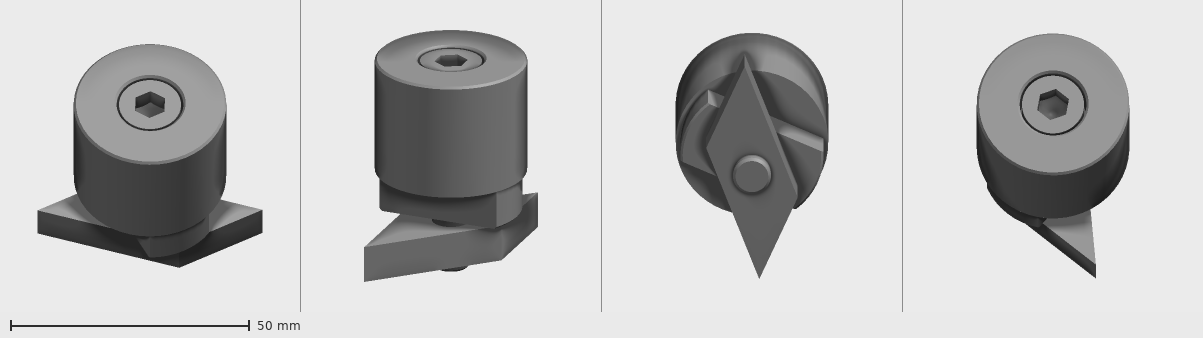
import cadquery as cq
import math

top_z = 47.0
flange_bottom_z = 22.0
tongue_bottom_z = 13.0
nut_top_z = 10.4
nut_bottom_z = 2.5

knob_diameter = 32.0
tongue_diameter = 30.0
tongue_width = 14.0
housing_chamfer = 0.45
counterbore_diameter = 14.0

shank_diameter = 8.0
tip_chamfer = 0.55
head_diameter = 13.0
head_height = 8.0
head_recess = 0.5
hex_across_flats = 6.15
hex_depth = 3.75
drill_point_angle = 120.0
nut_width = 22.0
nut_length = 41.8

head_top_z = top_z - head_recess
head_seat_z = head_top_z - head_height


def make_knob():
    height = top_z - flange_bottom_z
    knob = cq.Workplane("XY").workplane(offset=flange_bottom_z).circle(knob_diameter / 2).extrude(height)
    return knob.faces(">Z").chamfer(housing_chamfer)


def make_tongue():
    """Disc chamfered at its lower rim, then cut to two parallel flats."""
    height = flange_bottom_z - tongue_bottom_z
    base = cq.Workplane("XY").workplane(offset=tongue_bottom_z)
    disc = base.circle(tongue_diameter / 2).extrude(height).faces("<Z").chamfer(housing_chamfer)
    slab = base.rect(tongue_diameter, tongue_width).extrude(height)
    return disc.intersect(slab)


def make_screw_hole():
    """Cutter for the shank bore and the chamfered head counterbore."""
    bore = (
        cq.Workplane("XY").workplane(offset=tongue_bottom_z)
        .circle(shank_diameter / 2).extrude(head_seat_z - tongue_bottom_z)
    )
    counterbore = (
        cq.Workplane("XY").workplane(offset=head_seat_z)
        .circle(counterbore_diameter / 2).extrude(top_z - head_seat_z)
    )
    rim_radius = counterbore_diameter / 2
    rim = cq.Workplane("XY").add(
        cq.Solid.makeCone(
            rim_radius, rim_radius + housing_chamfer, housing_chamfer,
            pnt=cq.Vector(0, 0, top_z - housing_chamfer),
        )
    )
    return bore.union(counterbore).union(rim)


def make_housing():
    return make_knob().union(make_tongue()).cut(make_screw_hole())


def make_hex_socket():
    """Cutter for the hexagonal socket, corners on the Y axis, with a drill-point floor."""
    corner_radius = hex_across_flats / 2 / math.cos(math.radians(30))
    cone_depth = corner_radius / math.tan(math.radians(drill_point_angle / 2))
    floor_z = head_top_z - hex_depth
    hexagon = (
        cq.Workplane("XY").workplane(offset=floor_z - cone_depth)
        .transformed(rotate=(0, 0, 90))
        .polygon(6, 2 * corner_radius).extrude(hex_depth + cone_depth)
    )
    drill_profile = [
        (0, floor_z - cone_depth),
        (corner_radius, floor_z),
        (corner_radius, head_top_z),
        (0, head_top_z),
    ]
    drill = cq.Workplane("XZ").polyline(drill_profile).close().revolve(360, (0, 0, 0), (0, 1, 0))
    return hexagon.intersect(drill)


def make_slot_nut():
    """Parallelogram plate with two sides along Y and two at 45 degrees."""
    half_width = nut_width / 2
    half_length = nut_length / 2
    blunt_corner_y = nut_width - half_length
    outline = [
        (-half_width, -half_length),
        (half_width, blunt_corner_y),
        (half_width, half_length),
        (-half_width, -blunt_corner_y),
    ]
    return (
        cq.Workplane("XY").workplane(offset=nut_bottom_z)
        .polyline(outline).close().extrude(nut_top_z - nut_bottom_z)
    )


def make_screw_with_nut():
    shank = cq.Workplane("XY").circle(shank_diameter / 2).extrude(head_seat_z)
    shank = shank.faces("<Z").chamfer(tip_chamfer)
    head = cq.Workplane("XY").workplane(offset=head_seat_z).circle(head_diameter / 2).extrude(head_height)
    return shank.union(head).union(make_slot_nut()).cut(make_hex_socket())


housing = make_housing()
screw_with_nut = make_screw_with_nut()

result = cq.Compound.makeCompound([housing.val(), screw_with_nut.val()])